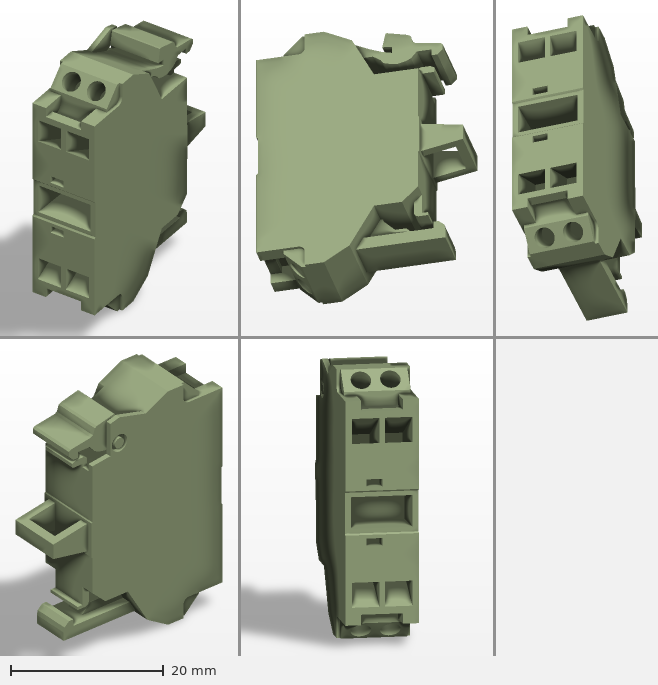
import cadquery as cq

WIDTH = 9.8
HEIGHT = 36.0
DEPTH = 27.7
HALF_WIDTH = WIDTH / 2
MID_Z = HEIGHT / 2

REAR_Y = 21.9
FRONT_TOP = 33.0
CREST_FRONT_Y = 6.05
CREST_REAR_Y = 9.15
BEVEL = 2.5
LEDGE_Y = CREST_FRONT_Y - BEVEL
VALLEY_Y = 12.92
VALLEY_Z = 34.05
SHOULDER_Y = 15.9
SHOULDER_Z = 7.75

TERMINAL_PITCH = 3.92
SCREW_HOLE_D = 2.7
SCREW_HOLE_DEPTH = 4.32
SIDE_STEP = 0.45
SIDE_STEP_Y = 6.55
SIDE_STEP_R = 0.9

ENTRY_PITCH = 4.4
ENTRY_WIDTH = 3.67
ENTRY_HEIGHT = 3.35
ENTRY_TOP = 30.65
ENTRY_SLOPE = 0.5
ENTRY_DEPTH = 7.2
NOTCH_WIDTH = 5.55
NOTCH_LIP_Z = 31.6
NOTCH_LIP_DEPTH = 1.5
NOTCH_ARC_R = 1.48
NOTCH_ARC_TOP = 32.08

BAND_HALF = 2.95
BAND_DEPTH = 0.2
WINDOW_WIDTH = 8.2
WINDOW_DEPTH = 5.4
SLIT_CENTER_X = -1.0
SLIT_WIDTH = 2.1
SLIT_HEIGHT = 1.05
SLIT_OFFSET = 3.95
SLIT_DEPTH = 2.15

PLUNGER_WIDTH = 7.92
PLUNGER_BASE_HEIGHT = 4.25
PLUNGER_TIP_HEIGHT = 2.25
PLUNGER_WALL = 1.25
PAD_THICKNESS = 0.15
PAD_HEIGHT = 5.25

PLATE_THICKNESS = 0.8
LATCH_WIDTH = 7.55
HOOK_Y = 23.4
PIN_Y = 17.3
PIN_Z = 31.2
PIN_D = 1.5
PIN_HOLE_D = 2.6
ARM_END_Y = 18.07
ARM_BOTTOM = 31.8
RIDGE_Z = 35.17
PLATE_REAR_Y = 18.85

FOOT_WIDTH = 5.6
FOOT_BOTTOM = 2.65
FOOT_TOP = 4.35
GUSSET_WIDTH = 2.88


def prism(points, x_min, x_max):
    """Extrude a closed (Y, Z) outline from x_min to x_max."""
    return cq.Workplane("YZ", origin=(x_min, 0, 0)).polyline(points).close().extrude(x_max - x_min)


def centered_prism(points, width):
    return prism(points, -width / 2, width / 2)


def with_mirror(solid):
    """Add the copy mirrored about the middle height."""
    return solid.union(solid.mirror("XY", (0, 0, MID_Z)))


def slit_cutter(center_z):
    slit = cq.Workplane("XY").box(SLIT_WIDTH, SLIT_DEPTH, SLIT_HEIGHT, centered=(True, False, True))
    return slit.translate((SLIT_CENTER_X, 0, center_z))


def housing():
    outline = [
        (0, HEIGHT - FRONT_TOP),
        (0, FRONT_TOP),
        (LEDGE_Y, FRONT_TOP),
        (LEDGE_Y, HEIGHT - BEVEL),
        (CREST_FRONT_Y, HEIGHT),
        (CREST_REAR_Y, HEIGHT),
        (VALLEY_Y, VALLEY_Z),
        (SHOULDER_Y, HEIGHT - SHOULDER_Z),
        (REAR_Y, HEIGHT - SHOULDER_Z),
        (REAR_Y, 9.83),
        (19.7, SHOULDER_Z),
        (SHOULDER_Y, SHOULDER_Z),
        (12.6, 2.1),
        (CREST_REAR_Y, 0),
        (CREST_FRONT_Y, 0),
        (LEDGE_Y, BEVEL),
        (LEDGE_Y, HEIGHT - FRONT_TOP),
    ]
    return centered_prism(outline, WIDTH)


def side_step_cutters():
    """Set the upper terminal block in from both sides, with a rounded inner corner."""
    step = (
        cq.Workplane("YZ", origin=(-HALF_WIDTH, 0, 0))
        .moveTo(0, FRONT_TOP)
        .lineTo(SIDE_STEP_Y - SIDE_STEP_R, FRONT_TOP)
        .radiusArc((SIDE_STEP_Y, FRONT_TOP + SIDE_STEP_R), -SIDE_STEP_R)
        .lineTo(SIDE_STEP_Y, HEIGHT)
        .lineTo(0, HEIGHT)
        .close()
        .extrude(SIDE_STEP)
    )
    return step.union(step.mirror("YZ"))


def screw_hole_cutters():
    face_center_y = CREST_FRONT_Y - BEVEL / 2
    face_center_z = HEIGHT - BEVEL / 2
    holes = cq.Workplane("XY")
    for x in (-TERMINAL_PITCH / 2, TERMINAL_PITCH / 2):
        holes = holes.add(
            cq.Solid.makeCylinder(
                SCREW_HOLE_D / 2,
                SCREW_HOLE_DEPTH,
                cq.Vector(x, face_center_y, face_center_z),
                cq.Vector(0, 1, -1),
            )
        )
    return holes.combine()


def wire_entry_cutters():
    """Two square entries that slant towards the middle height."""
    drop = ENTRY_SLOPE * ENTRY_DEPTH
    outline = [
        (0, ENTRY_TOP),
        (0, ENTRY_TOP - ENTRY_HEIGHT),
        (ENTRY_DEPTH, ENTRY_TOP - ENTRY_HEIGHT - drop),
        (ENTRY_DEPTH, ENTRY_TOP - drop),
    ]
    entry = centered_prism(outline, ENTRY_WIDTH)
    left = entry.translate((-ENTRY_PITCH / 2, 0, 0))
    return left.union(entry.translate((ENTRY_PITCH / 2, 0, 0)))


def notch_cutter():
    """Notch with a front lip and a rounded groove behind it."""
    floor_z = NOTCH_ARC_TOP - NOTCH_ARC_R
    return (
        cq.Workplane("YZ", origin=(-NOTCH_WIDTH / 2, 0, 0))
        .moveTo(0, FRONT_TOP)
        .lineTo(0, NOTCH_LIP_Z)
        .lineTo(NOTCH_LIP_DEPTH, NOTCH_LIP_Z)
        .lineTo(NOTCH_LIP_DEPTH, floor_z)
        .lineTo(LEDGE_Y - NOTCH_ARC_R, floor_z)
        .radiusArc((LEDGE_Y, NOTCH_ARC_TOP), -NOTCH_ARC_R)
        .lineTo(LEDGE_Y, FRONT_TOP)
        .close()
        .extrude(NOTCH_WIDTH)
    )


def front_band_cutter():
    """Shallow band across the front with 45 degree edges."""
    inner_half = BAND_HALF - BAND_DEPTH
    outline = [
        (0, MID_Z - BAND_HALF),
        (BAND_DEPTH, MID_Z - inner_half),
        (BAND_DEPTH, MID_Z + inner_half),
        (0, MID_Z + BAND_HALF),
    ]
    return centered_prism(outline, WIDTH)


def window_cutter():
    """Middle window, narrowing with depth to the width of the plunger."""
    outline = [
        (-WINDOW_WIDTH / 2, 0),
        (WINDOW_WIDTH / 2, 0),
        (PLUNGER_WIDTH / 2, WINDOW_DEPTH),
        (-PLUNGER_WIDTH / 2, WINDOW_DEPTH),
    ]
    bottom = MID_Z - PLUNGER_BASE_HEIGHT / 2
    return (
        cq.Workplane("XY", origin=(0, 0, bottom)).polyline(outline).close().extrude(PLUNGER_BASE_HEIGHT)
    )


def plunger():
    pad_y = REAR_Y + PAD_THICKNESS
    pad_outline = [
        (REAR_Y, MID_Z - PAD_HEIGHT / 2 - PAD_THICKNESS),
        (pad_y, MID_Z - PAD_HEIGHT / 2),
        (pad_y, MID_Z + PAD_HEIGHT / 2),
        (REAR_Y, MID_Z + PAD_HEIGHT / 2 + PAD_THICKNESS),
    ]
    wedge_outline = [
        (pad_y, MID_Z - PLUNGER_BASE_HEIGHT / 2),
        (DEPTH, MID_Z - PLUNGER_TIP_HEIGHT / 2),
        (DEPTH, MID_Z + PLUNGER_TIP_HEIGHT / 2),
        (pad_y, MID_Z + PLUNGER_BASE_HEIGHT / 2),
    ]
    slot_length = DEPTH - PLUNGER_WALL - pad_y
    slot = (
        cq.Workplane("XY")
        .box(PLUNGER_WIDTH - 2 * PLUNGER_WALL, slot_length, PLUNGER_BASE_HEIGHT)
        .translate((0, pad_y + slot_length / 2, MID_Z))
    )
    wedge = centered_prism(wedge_outline, PLUNGER_WIDTH).cut(slot)
    return centered_prism(pad_outline, WIDTH).union(wedge)


def side_plate():
    """Tall plate on the -X side, with the clearance hole around the hinge pin."""
    base_z = HEIGHT - SHOULDER_Z
    outline = [
        (VALLEY_Y, base_z),
        (VALLEY_Y, VALLEY_Z),
        (PIN_Y, RIDGE_Z),
        (PLATE_REAR_Y, 34.75),
        (PLATE_REAR_Y, 29.77),
        (REAR_Y, 29.38),
        (REAR_Y, base_z),
    ]
    plate = prism(outline, -HALF_WIDTH, -HALF_WIDTH + PLATE_THICKNESS)
    hole = (
        cq.Workplane("YZ", origin=(-HALF_WIDTH, 0, 0))
        .center(PIN_Y, PIN_Z)
        .circle(PIN_HOLE_D / 2)
        .extrude(PLATE_THICKNESS)
    )
    return plate.cut(hole)


def hinge():
    """Arm that reaches back from the housing, ending in the hinge pin."""
    arm_outline = [
        (VALLEY_Y, VALLEY_Z),
        (15.05, 33.0),
        (16.7, 32.33),
        (ARM_END_Y, 31.95),
        (ARM_END_Y, PIN_Z),
        (PIN_Y, PIN_Z),
        (16.52, 31.05),
        (15.48, ARM_BOTTOM),
        (VALLEY_Y, ARM_BOTTOM),
    ]
    pin = (
        cq.Workplane("YZ", origin=(-HALF_WIDTH, 0, 0))
        .center(PIN_Y, PIN_Z)
        .circle(PIN_D / 2)
        .extrude(HALF_WIDTH + LATCH_WIDTH / 2)
    )
    return centered_prism(arm_outline, LATCH_WIDTH).union(pin)


def latch():
    outline = [
        (PIN_Y, RIDGE_Z),
        (17.17, 35.05),
        (16.75, 33.05),
        (ARM_END_Y, 32.85),
        (ARM_END_Y, PIN_Z),
        (PIN_Y, PIN_Z),
        (16.9, 30.6),
        (17.9, 30.25),
        (18.85, 30.15),
        (19.87, 30.35),
        (20.63, 30.7),
        (21.42, 31.65),
        (HOOK_Y, 31.65),
        (HOOK_Y, 30.75),
        (24.2, 30.75),
        (24.9, 31.45),
        (24.9, 32.22),
        (24.6, 32.47),
        (21.25, 33.0),
        (20.88, 33.25),
        (20.55, 34.2),
        (20.25, 34.4),
    ]
    return centered_prism(outline, LATCH_WIDTH)


def foot():
    foot_rear_y = 25.02
    hook_top = 5.35
    gusset_step_z = 5.85
    gusset_front_y = 16.27
    foot_outline = [
        (VALLEY_Y, FOOT_BOTTOM),
        (foot_rear_y, FOOT_BOTTOM),
        (foot_rear_y, 3.95),
        (24.88, 4.68),
        (24.12, hook_top),
        (HOOK_Y, hook_top),
        (HOOK_Y, FOOT_TOP),
        (VALLEY_Y, FOOT_TOP),
    ]
    gusset_outline = [
        (VALLEY_Y, FOOT_TOP),
        (20.85, FOOT_TOP),
        (19.4, gusset_step_z),
        (17.9, gusset_step_z),
        (gusset_front_y, 7.45),
        (gusset_front_y, SHOULDER_Z),
        (VALLEY_Y, SHOULDER_Z),
    ]
    return centered_prism(foot_outline, FOOT_WIDTH).union(centered_prism(gusset_outline, GUSSET_WIDTH))


def upper_leaf():
    tip_y = 23.58
    top = 29.75
    bottom = 28.73
    root_y = 21.05
    outline = [
        (root_y, HEIGHT - SHOULDER_Z),
        (REAR_Y, HEIGHT - SHOULDER_Z),
        (REAR_Y, bottom),
        (tip_y - 0.15, bottom),
        (tip_y, bottom + 0.15),
        (tip_y, top - 0.32),
        (tip_y - 0.58, top),
        (21.67, top),
        (root_y, 29.35),
    ]
    return centered_prism(outline, FOOT_WIDTH)


def lower_leaf():
    """Spring leaf that hangs from the housing and turns outwards at its toe."""
    leaf_front_y = 20.77
    toe_y = 22.68
    toe_top = 7.0
    toe_bottom = 6.5
    bend_r = 0.72
    root_z = 11.52
    return (
        cq.Workplane("YZ", origin=(-FOOT_WIDTH / 2, 0, 0))
        .moveTo(leaf_front_y, root_z)
        .lineTo(leaf_front_y, toe_bottom + bend_r)
        .radiusArc((leaf_front_y + bend_r, toe_bottom), -bend_r)
        .lineTo(toe_y, toe_bottom)
        .lineTo(toe_y, toe_top)
        .lineTo(REAR_Y, toe_top)
        .lineTo(REAR_Y, root_z)
        .close()
        .extrude(FOOT_WIDTH)
    )


result = housing()

for end_cutter in (side_step_cutters(), screw_hole_cutters(), wire_entry_cutters(), notch_cutter()):
    result = result.cut(with_mirror(end_cutter))

result = result.cut(front_band_cutter()).cut(window_cutter())
for slit_z in (MID_Z - SLIT_OFFSET, MID_Z + SLIT_OFFSET):
    result = result.cut(slit_cutter(slit_z))

for feature in (plunger(), side_plate(), hinge(), latch(), foot(), upper_leaf(), lower_leaf()):
    result = result.union(feature)